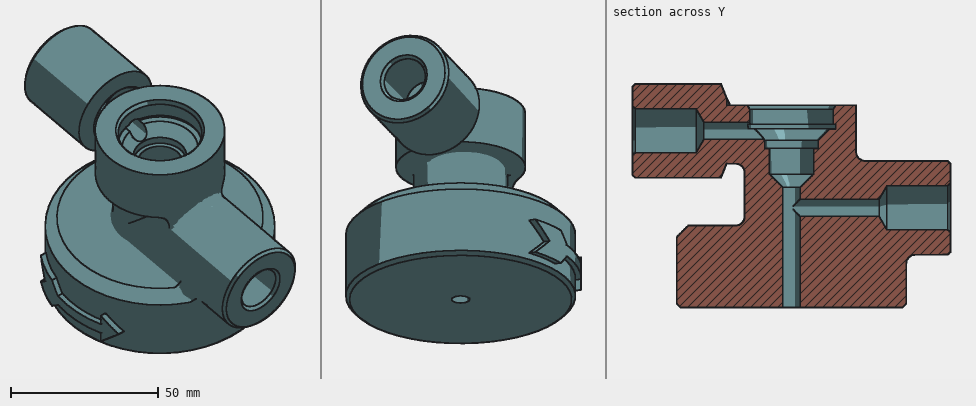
import cadquery as cq
import math

base_diameter = 78.0
base_height = 28.0
base_top_chamfer = 4.0
base_bottom_chamfer = 1.3
neck_diameter = 32.0
collar_diameter = 44.0
collar_bottom = 48.8
collar_top = 68.8
blend_radius = 2.9
tolerance = 0.02

port_diameter = 32.0
port_reach = 54
port_chamfer = 1.0
overall_height = 76.0
upper_port_z = overall_height - port_diameter / 2
lower_port_z = 33.9
upper_port_inner_x = -collar_diameter / 2
upper_port_cone_length = 1.9
link_diameter = 22.2

passage_diameter = 6.0
port_bore_diameter = 14.9
port_mouth_diameter = 17.0
port_bore_depth = 21.6
drill_cone_length = 2.6
seat_mouth_diameter = 30.0
seat_diameter = 28.4
seat_chamfer_depth = 1.4
seat_floor_z = 60.7
seat_groove_diameter = 30.0
seat_groove_height = 1.5
funnel_top_diameter = 25.7
funnel_bottom_z = 56.8
well_diameter = 18.0
well_floor_z = 54.1
lower_well_diameter = 15.0
lower_well_floor_z = 45.4
lower_well_cone_depth = 4.4

arrow_relief = 1.9
arrow_z = 9.7
arrow_half_length = 21.0
arrow_half_height = 6.0
arrow_shaft_half_height = 2.0
arrow_head_length = 6.0
tail_notch_x = -15.0
tail_shoulder_x = -9.1
shaft_start_x = -5.1


def upright(diameter, bottom, top):
    """Vertical cylinder on the main axis."""
    return cq.Workplane("XY").workplane(offset=bottom).circle(diameter / 2).extrude(top - bottom)


def along_x(diameter, start, end, z):
    """Cylinder parallel to X at height z."""
    return cq.Workplane("YZ", origin=(start, 0, z)).circle(diameter / 2).extrude(end - start)


def base_disk():
    """Chamfered base."""
    disk = upright(base_diameter, 0, base_height)
    disk = disk.faces(">Z").chamfer(base_top_chamfer)
    disk = disk.faces("<Z").chamfer(base_bottom_chamfer)
    return disk.rotate((0, 0, 0), (0, 0, 1), 90)


def blended_neck():
    """Neck that flares with a fillet into the base below and the collar above."""
    radius = neck_diameter / 2
    flare = radius + blend_radius
    profile = cq.Workplane("XZ").moveTo(0, base_height).lineTo(flare, base_height)
    profile = profile.radiusArc((radius, base_height + blend_radius), blend_radius)
    profile = profile.lineTo(radius, collar_bottom - blend_radius)
    profile = profile.radiusArc((flare, collar_bottom), blend_radius)
    return profile.lineTo(0, collar_bottom).close().revolve(360, (0, 0), (0, 1))


def blended_lower_port(base, collar):
    """Lower port filleted into the base and the collar, kept with the +X half of both."""
    port = along_x(port_diameter, -port_reach, port_reach, lower_port_z)
    joined = base.union(port).union(collar)

    def is_on_port(point):
        distance = math.hypot(point.y, point.z - lower_port_z)
        return abs(distance - port_diameter / 2) < tolerance and abs(point.x) < port_reach - tolerance

    seam = [
        edge
        for edge in joined.edges().vals()
        if all(is_on_port(edge.positionAt(place)) for place in (0.1, 0.5, 0.9))
    ]
    joined = joined.newObject(seam).fillet(blend_radius)
    joined = joined.faces(">X").chamfer(port_chamfer)
    positive_side = cq.Workplane("XY").box(port_reach, base_diameter, collar_top, centered=(False, True, False))
    return joined.intersect(positive_side)


def upper_port():
    """Port with a coned inner end and a thinner link that stops at the collar's surface."""
    cone_start = upper_port_inner_x - upper_port_cone_length
    profile = [
        (-port_reach, 0),
        (-port_reach, port_diameter / 2 - port_chamfer),
        (-port_reach + port_chamfer, port_diameter / 2),
        (cone_start, port_diameter / 2),
        (upper_port_inner_x, link_diameter / 2),
        (0, link_diameter / 2),
        (0, 0),
    ]
    port = cq.Workplane("XZ", origin=(0, 0, upper_port_z)).polyline(profile).close()
    port = port.revolve(360, (0, 0), (1, 0))
    return port.cut(upright(collar_diameter, 0, 2 * collar_top))


def flow_arrow():
    """Arrow raised from the base's side, its face concentric with the base."""
    head_x = arrow_half_length - arrow_head_length
    upper_edge = [
        (-arrow_half_length, arrow_half_height),
        (tail_shoulder_x, arrow_half_height),
        (shaft_start_x, arrow_shaft_half_height),
        (head_x, arrow_shaft_half_height),
        (head_x, arrow_half_height),
    ]
    lower_edge = [(x, -z) for x, z in reversed(upper_edge)]
    outline = upper_edge + [(arrow_half_length, 0)] + lower_edge + [(tail_notch_x, 0)]
    arrow = cq.Workplane("XZ", origin=(0, 0, arrow_z)).polyline(outline).close().extrude(base_diameter)
    return arrow.intersect(upright(base_diameter + 2 * arrow_relief, 0, base_height))


def vertical_bore():
    """Grooved seat, funnel, stepped well and through passage on the main axis."""
    groove_top_z = seat_floor_z + seat_groove_height
    profile = [
        (0, collar_top),
        (seat_mouth_diameter / 2, collar_top),
        (seat_diameter / 2, collar_top - seat_chamfer_depth),
        (seat_diameter / 2, groove_top_z),
        (seat_groove_diameter / 2, groove_top_z),
        (seat_groove_diameter / 2, seat_floor_z),
        (funnel_top_diameter / 2, seat_floor_z),
        (well_diameter / 2, funnel_bottom_z),
        (well_diameter / 2, well_floor_z),
        (lower_well_diameter / 2, well_floor_z),
        (lower_well_diameter / 2, lower_well_floor_z),
        (passage_diameter / 2, lower_well_floor_z - lower_well_cone_depth),
        (passage_diameter / 2, 0),
        (0, 0),
    ]
    return cq.Workplane("XZ").polyline(profile).close().revolve(360, (0, 0), (0, 1))


def port_bore(side, z):
    """Chamfered, cone-ended port bore with a passage to the main axis; side is -1 or 1."""
    mouth_chamfer = (port_mouth_diameter - port_bore_diameter) / 2
    cone_start = port_reach - port_bore_depth
    profile = [
        (port_reach, 0),
        (port_reach, port_mouth_diameter / 2),
        (port_reach - mouth_chamfer, port_bore_diameter / 2),
        (cone_start, port_bore_diameter / 2),
        (cone_start - drill_cone_length, passage_diameter / 2),
        (0, passage_diameter / 2),
        (0, 0),
    ]
    outline = [(side * x, radius) for x, radius in profile]
    bore = cq.Workplane("XZ", origin=(0, 0, z)).polyline(outline).close()
    return bore.revolve(360, (0, 0), (1, 0))


base = base_disk()
collar = upright(collar_diameter, collar_bottom, collar_top)

body = base.union(blended_neck()).union(collar)
body = body.union(blended_lower_port(base, collar))
body = body.union(upper_port())
body = body.union(flow_arrow())

body = body.cut(vertical_bore())
body = body.cut(port_bore(-1, upper_port_z))
body = body.cut(port_bore(1, lower_port_z))

result = body